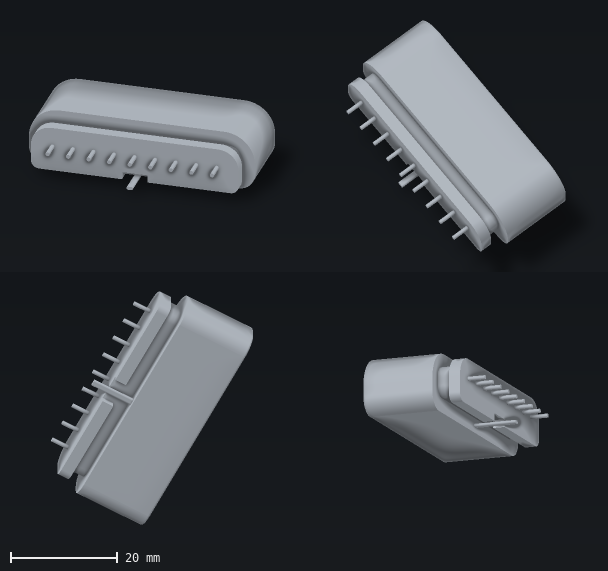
import cadquery as cq

body_length = 44.0
body_height = 11.5
body_depth = 14.0
body_top_radius = 6.0
body_bottom_radius = 3.25
back_edge_radius = 0.4

neck_inset = 2.8
neck_depth = 2.65
neck_radius = 2.0

plate_side_inset = 1.75
plate_edge_inset = 1.3
plate_depth = 2.25
plate_top_radius = 4.0
plate_bottom_radius = 1.65
notch_width = 4.95

pin_count = 9
pin_pitch = 4.0
pin_diameter = 0.8
pin_length = 3.45
pin_row_z = 6.35

flat_pin_width = 1.28
flat_pin_thickness = 0.65
flat_pin_z = 1.4

body_front_y = 0.0
neck_front_y = body_front_y - neck_depth
plate_front_y = neck_front_y - plate_depth
pin_tip_y = plate_front_y - pin_length


def front_plane(y):
    """XZ plane at the given Y; extruding goes towards -Y."""
    return cq.Workplane("XZ", origin=(0, y, 0))


def rounded_block(side_inset, edge_inset, top_radius, bottom_radius, back_y, depth):
    """Block inset from the body outline, with its edges along Y rounded."""
    length = body_length - 2 * side_inset
    height = body_height - 2 * edge_inset
    block = front_plane(back_y).center(0, body_height / 2).rect(length, height).extrude(depth)
    block = block.edges("|Y and >Z").fillet(top_radius)
    return block.edges("|Y and <Z").fillet(bottom_radius)


def make_body():
    back_y = body_front_y + body_depth
    body = rounded_block(0, 0, body_top_radius, body_bottom_radius, back_y, body_depth)
    return body.faces(">Y").edges().fillet(back_edge_radius)


def make_neck():
    return rounded_block(neck_inset, neck_inset, neck_radius, neck_radius, body_front_y, neck_depth)


def make_plate():
    plate = rounded_block(
        plate_side_inset, plate_edge_inset, plate_top_radius, plate_bottom_radius, neck_front_y, plate_depth
    )
    notch = front_plane(neck_front_y).center(0, neck_inset / 2).rect(notch_width, neck_inset).extrude(plate_depth)
    return plate.cut(notch)


def make_round_pins():
    return (
        front_plane(neck_front_y)
        .center(0, pin_row_z)
        .rarray(pin_pitch, 0.45, pin_count, 1)
        .circle(pin_diameter / 2)
        .extrude(neck_front_y - pin_tip_y)
    )


def make_flat_pin():
    return (
        front_plane(body_front_y)
        .center(0, flat_pin_z)
        .slot2D(flat_pin_width, flat_pin_thickness)
        .extrude(body_front_y - pin_tip_y)
    )


result = (
    make_body()
    .union(make_neck())
    .union(make_plate())
    .union(make_round_pins())
    .union(make_flat_pin())
)